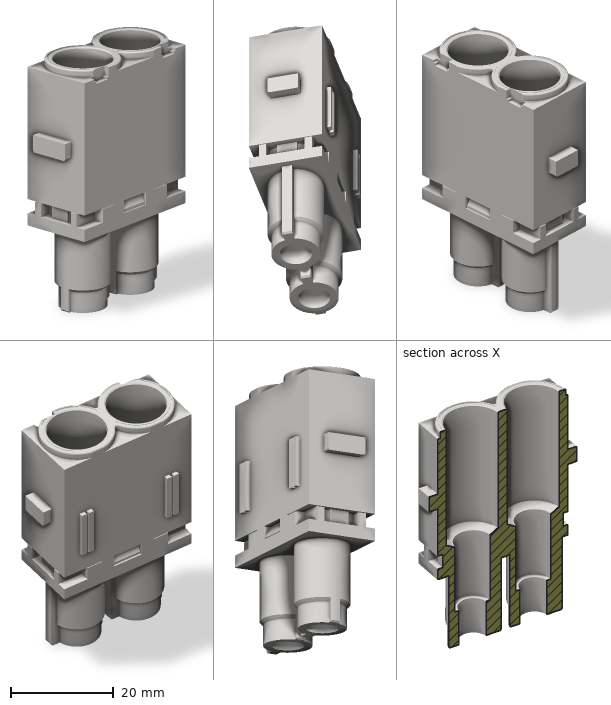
import cadquery as cq
import math

BODY_WIDTH = 14.7
BODY_LENGTH = 30.0
BASE_Z = 16.8
BODY_TOP_Z = 49.5
TOP_Z = 51.0
SIDE_X = BODY_WIDTH / 2
END_Y = BODY_LENGTH / 2

CHAMBER_PITCH = 14.0
CHAMBER_YS = (-CHAMBER_PITCH / 2, CHAMBER_PITCH / 2)
BORE_RADIUS = 5.95
MOUTH_RADIUS = 6.25
MOUTH_DEPTH = 0.2
CONE_TOP_Z = 24.0
CONE_TOP_RADIUS = 5.7
CONE_BOTTOM_RADIUS = 4.25
CONE_SLOPE_DEG = 30.0
CONE_HEIGHT = (CONE_TOP_RADIUS - CONE_BOTTOM_RADIUS) * math.tan(math.radians(CONE_SLOPE_DEG))
CONE_BOTTOM_Z = CONE_TOP_Z - CONE_HEIGHT
SEAT_RADIUS = 4.05
SEAT_Z = 8.0
THROUGH_RADIUS = 3.13

COLLAR_RADIUS = 7.5
COLLAR_NECK_RADIUS = 0.5
COLLAR_FILLET = 0.34

GROOVE_INNER_RADIUS = 6.65
GROOVE_OUTER_RADIUS = 7.0
GROOVE_DEPTH = 0.1
GROOVE_START_ANGLE = -70.0
GROOVE_SWEEP = 210.0

NOTCH_DEPTH_X = 1.1
NOTCH_INNER_Y = 7.8
NOTCH_OUTER_Y = 12.0
NOTCH_LEDGE_LENGTH = 0.45
NOTCH_LEDGE_DEPTH = 0.5
NOTCH_FLOOR_DEPTH = 1.0

TUBE_RADIUS = 5.5
TUBE_END_RADIUS = 4.78
TUBE_SHOULDER_TOP_Z = 4.9
TUBE_SHOULDER_BOTTOM_Z = 4.2
KEY_WIDTH = 2.0
KEY_REACH = 6.75
KEY_CHAMFER = 0.35

TAB_REACH = 2.0
TAB_BOTTOM_Z = 33.2
TAB_TOP_Z = 36.75
FRONT_TAB_WIDTH = 8.2
REAR_TAB_WIDTH = 6.2
TAB_FILLET = 0.45

GUIDE_REACH = 0.9
GUIDE_THICKNESS = 1.1
GUIDE_BOTTOM_Z = 26.75
GUIDE_TOP_Z = TAB_TOP_Z
GUIDE_INNER_Y = 9.2
GUIDE_OUTER_Y = 10.85
GUIDE_YS = (-GUIDE_OUTER_Y, -GUIDE_INNER_Y, GUIDE_INNER_Y, GUIDE_OUTER_Y)

OPENING_BOTTOM_Z = 19.3
OPENING_TOP_Z = 22.25
CORNER_DEPTH_X = 2.0
CORNER_LENGTH_Y = 5.5
END_OPENING_WIDTH = 7.7
CHAMBER_WALL_RADIUS = 6.75
CHAMBER_FLAT_WIDTH = 4.0
CHAMBER_FLAT_REACH = 6.9
SEAM_HEIGHT = 0.15
SEAM_DEPTH = 0.5

TONGUE_WIDTH = 12.1
WINDOW_WIDTH = 6.5
WINDOW_BOTTOM_Z = 19.6
WINDOW_DEPTH = 1.4
TOOTH_CLEARANCE = 0.2
TOOTH_NOSE_HEIGHT = 0.5
TOOTH_SETBACK = 0.2


def box(x_range, y_range, z_range):
    """Box between the given limits along each axis."""
    size = [high - low for low, high in (x_range, y_range, z_range)]
    origin = (x_range[0], y_range[0], z_range[0])
    return cq.Workplane("XY").box(*size, centered=False).translate(origin)


def cylinder(radius, y_center, z_range):
    """Upright cylinder on one of the chamber axes."""
    base = cq.Workplane("XY", origin=(0, y_center, z_range[0]))
    return base.circle(radius).extrude(z_range[1] - z_range[0])


def housing_block():
    return box((-SIDE_X, SIDE_X), (-END_Y, END_Y), (BASE_Z, BODY_TOP_Z))


def collar():
    """Rounded figure-eight rim, trimmed flush with the housing sides.

    The -X side is trimmed before the top edge is rounded, the +X side after it.
    """
    z_range = (BODY_TOP_Z, TOP_Z)
    rim = cylinder(COLLAR_RADIUS, CHAMBER_YS[0], z_range)
    rim = rim.union(cylinder(COLLAR_RADIUS, CHAMBER_YS[1], z_range))
    neck_x = math.sqrt(COLLAR_RADIUS**2 - CHAMBER_YS[1] ** 2)
    middle_z = (BODY_TOP_Z + TOP_Z) / 2
    for x in (-neck_x, neck_x):
        neck_edge = cq.selectors.NearestToPointSelector((x, 0, middle_z))
        rim = rim.edges(neck_edge).fillet(COLLAR_NECK_RADIUS)
    rim = rim.intersect(box((-SIDE_X, COLLAR_RADIUS), (-END_Y, END_Y), z_range))
    rim = rim.faces(">Z").edges().fillet(COLLAR_FILLET)
    return rim.intersect(box((-SIDE_X, SIDE_X), (-END_Y, END_Y), z_range))


def rim_groove(y_center, start_angle):
    """Shallow circular groove in the collar top, swept from the start angle."""
    half_width = (GROOVE_OUTER_RADIUS - GROOVE_INNER_RADIUS) / 2
    section = cq.Workplane("XZ").center(GROOVE_INNER_RADIUS + half_width, TOP_Z)
    section = section.rect(2 * half_width, 2 * GROOVE_DEPTH)
    axis_offset = -(GROOVE_INNER_RADIUS + half_width)
    groove = section.revolve(GROOVE_SWEEP, (axis_offset, -1, 0), (axis_offset, 1, 0))
    groove = groove.rotate((0, 0, 0), (0, 0, 1), start_angle)
    return groove.translate((0, y_center, 0))


def rib_bevel():
    """Wedge that bevels the lower outer edge of a tube rib."""
    profile = [
        (-TUBE_RADIUS, 0),
        (KEY_CHAMFER - TUBE_RADIUS, 0),
        (-TUBE_RADIUS, KEY_CHAMFER),
    ]
    return cq.Workplane("YZ").polyline(profile).close().extrude(KEY_WIDTH / 2, both=True)


def tube(y_center):
    """Stepped tube with a full-length key on +Y and a rib down the tube end on -Y."""
    profile = [
        (0, 0),
        (TUBE_END_RADIUS, 0),
        (TUBE_END_RADIUS, TUBE_SHOULDER_BOTTOM_Z),
        (TUBE_RADIUS, TUBE_SHOULDER_TOP_Z),
        (TUBE_RADIUS, BASE_Z),
        (0, BASE_Z),
    ]
    body = cq.Workplane("XZ").polyline(profile).close().revolve(360, (0, 0), (0, 1))
    half_key = KEY_WIDTH / 2
    key = box((-half_key, half_key), (0, KEY_REACH), (0, BASE_Z))
    key = key.faces("<Z").edges(">Y").chamfer(KEY_CHAMFER)
    rib = box((-half_key, half_key), (-TUBE_RADIUS, 0), (0, BASE_Z))
    rib = rib.intersect(cylinder(TUBE_RADIUS, 0, (0, BASE_Z)))
    rib = rib.cut(rib_bevel())
    return body.union(key).union(rib).translate((0, y_center, 0))


def chamber_cavity(y_center):
    """Mouth bevel, bore, cone, seat and through hole of one chamber."""
    profile = [
        (0, 0),
        (THROUGH_RADIUS, 0),
        (THROUGH_RADIUS, SEAT_Z),
        (SEAT_RADIUS, SEAT_Z),
        (SEAT_RADIUS, CONE_BOTTOM_Z),
        (CONE_BOTTOM_RADIUS, CONE_BOTTOM_Z),
        (CONE_TOP_RADIUS, CONE_TOP_Z),
        (BORE_RADIUS, CONE_TOP_Z),
        (BORE_RADIUS, TOP_Z - MOUTH_DEPTH),
        (MOUTH_RADIUS, TOP_Z),
        (0, TOP_Z),
    ]
    cavity = cq.Workplane("XZ").polyline(profile).close().revolve(360, (0, 0), (0, 1))
    return cavity.translate((0, y_center, 0))


def coding_tab(width, side):
    """Tab on an end face (side is -1 or 1) with rounded lower edges."""
    y_range = sorted((side * END_Y, side * (END_Y + TAB_REACH)))
    tab = box((-width / 2, width / 2), y_range, (TAB_BOTTOM_Z, TAB_TOP_Z))
    return tab.faces("<Z").edges("|Y").fillet(TAB_FILLET)


def guide_rib(y_center):
    half = GUIDE_THICKNESS / 2
    x_range = (-SIDE_X - GUIDE_REACH, -SIDE_X)
    return box(x_range, (y_center - half, y_center + half), (GUIDE_BOTTOM_Z, GUIDE_TOP_Z))


def top_notch(side):
    """Notch in the +X top edge, beside one chamber, with a ledge at both ends."""
    x_range = (SIDE_X - NOTCH_DEPTH_X, SIDE_X)
    ledge_z = BODY_TOP_Z - NOTCH_LEDGE_DEPTH
    floor_z = BODY_TOP_Z - NOTCH_FLOOR_DEPTH
    upper_ys = sorted((side * NOTCH_INNER_Y, side * NOTCH_OUTER_Y))
    lower_ys = (upper_ys[0] + NOTCH_LEDGE_LENGTH, upper_ys[1] - NOTCH_LEDGE_LENGTH)
    return box(x_range, upper_ys, (ledge_z, TOP_Z)).union(box(x_range, lower_ys, (floor_z, TOP_Z)))


def corner_opening(x_side, y_side):
    x_range = sorted((x_side * SIDE_X, x_side * (SIDE_X - CORNER_DEPTH_X)))
    y_range = sorted((y_side * END_Y, y_side * (END_Y - CORNER_LENGTH_Y)))
    return box(x_range, y_range, (OPENING_BOTTOM_Z, OPENING_TOP_Z))


def end_opening(side):
    """Opening in an end face that bares the round chamber wall and its flat."""
    z_range = (OPENING_BOTTOM_Z, OPENING_TOP_Z)
    y_center = side * CHAMBER_PITCH / 2
    half = END_OPENING_WIDTH / 2
    opening = box((-half, half), sorted((y_center, side * END_Y)), z_range)
    half_flat = CHAMBER_FLAT_WIDTH / 2
    flat = box(
        (-half_flat, half_flat), sorted((y_center, y_center + side * CHAMBER_FLAT_REACH)), z_range
    )
    return opening.cut(cylinder(CHAMBER_WALL_RADIUS, y_center, z_range)).cut(flat)


def seam():
    """Thin groove under the housing, interrupted by the two side tongues."""
    z_range = (OPENING_TOP_Z - SEAM_HEIGHT, OPENING_TOP_Z)
    ring = box((-SIDE_X, SIDE_X), (-END_Y, END_Y), z_range)
    core_x = SIDE_X - SEAM_DEPTH
    core_y = END_Y - SEAM_DEPTH
    ring = ring.cut(box((-core_x, core_x), (-core_y, core_y), z_range))
    half_tongue = TONGUE_WIDTH / 2
    return ring.cut(box((-SIDE_X, SIDE_X), (-half_tongue, half_tongue), z_range))


def latch_window(side):
    """Window in a side tongue, less the ramped latch tooth inside it."""
    outer_x = side * SIDE_X
    inner_x = side * (SIDE_X - WINDOW_DEPTH)
    nose_x = side * (SIDE_X - TOOTH_SETBACK)
    half = WINDOW_WIDTH / 2
    window = box(sorted((outer_x, inner_x)), (-half, half), (WINDOW_BOTTOM_Z, OPENING_TOP_Z))
    tooth_bottom_z = WINDOW_BOTTOM_Z + TOOTH_CLEARANCE
    profile = [
        (inner_x, tooth_bottom_z),
        (nose_x, tooth_bottom_z),
        (nose_x, tooth_bottom_z + TOOTH_NOSE_HEIGHT),
        (inner_x, OPENING_TOP_Z),
    ]
    half_tooth = half - TOOTH_CLEARANCE
    tooth = cq.Workplane("XZ").polyline(profile).close().extrude(half_tooth, both=True)
    return window.cut(tooth)


part = housing_block().union(collar())
part = part.union(coding_tab(FRONT_TAB_WIDTH, -1)).union(coding_tab(REAR_TAB_WIDTH, 1))
for guide_y in GUIDE_YS:
    part = part.union(guide_rib(guide_y))
for chamber_y in CHAMBER_YS:
    part = part.union(tube(chamber_y))
for chamber_y in CHAMBER_YS:
    part = part.cut(chamber_cavity(chamber_y))
part = part.cut(rim_groove(CHAMBER_YS[1], GROOVE_START_ANGLE))
part = part.cut(rim_groove(CHAMBER_YS[0], GROOVE_START_ANGLE + 180))
for y_sign in (-1, 1):
    part = part.cut(top_notch(y_sign)).cut(end_opening(y_sign))
    for x_sign in (-1, 1):
        part = part.cut(corner_opening(x_sign, y_sign))
for x_sign in (-1, 1):
    part = part.cut(latch_window(x_sign))
part = part.cut(seam())

result = part.val()